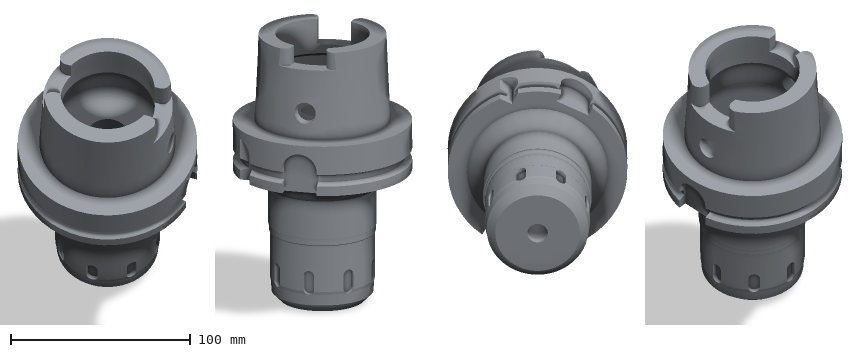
import cadquery as cq
import math

total_height = 155.0
shank_length = 50.0
flange_thickness = 29.0
flange_top = total_height - shank_length
flange_bottom = flange_top - flange_thickness

flange_radius = 49.99
groove_floor_radius = 46.2
groove_centre = flange_top - 20.0
groove_mouth_half_width = 3.4
groove_floor_half_width = 1.9

shank_base_radius = 38.0
shank_top_radius = 35.6

neck_cone_radius = 39.2
neck_cone_bottom = 66.3
body_radius = 30.2
body_bottom = 44.5
collar_radius = 29.8
collar_bottom = 40.5
sleeve_top = 40.0
sleeve_radius = 29.3
sleeve_bottom = 26.2
nut_radius = 29.22
nut_lip_top = 13.0
nut_lip_radius = 28.8
nut_lip_bottom = 11.2
nose_radius = 28.4
nose_chamfer_top = 4.8
nose_face_radius = 23.5

bore_radius = 26.4
bore_lip_depth = 20.2
undercut_radius = 31.3
undercut_slope = math.radians(30)
bore_floor_fillet = 4.3
bore_depth = 45.0
tube_seat_radius = 12.01
tube_seat_depth = 15.5
through_hole_radius = 5.7

drive_slot_half_width = 9.9
drive_slot_corner_radius = 4.6
drive_slot_shoulder = 32.1
shallow_slot_depth = 10.0
deep_slot_depth = 15.0

cross_hole_radius = 6.0
cross_hole_depth = 35.0

arch_top = flange_top - 5.1
keyway_half_width = 9.9
keyway_floor = 44.0
notch_half_width = 8.0
notch_centre = 39.5
notch_floor = 31.3

spanner_slot_count = 8
spanner_slot_width = 6.2
spanner_slot_top = 25.0
spanner_slot_bottom = nut_lip_bottom
spanner_slot_floor = 26.5

clearance = 7.8


def outer_body():
    outline = [
        (0, 0),
        (nose_face_radius, 0),
        (nose_radius, nose_chamfer_top),
        (nut_lip_radius, nut_lip_bottom),
        (nut_radius, nut_lip_top),
        (nut_radius, sleeve_bottom),
        (sleeve_radius, sleeve_bottom),
        (sleeve_radius, sleeve_top),
        (collar_radius, collar_bottom),
        (collar_radius, body_bottom),
        (body_radius, body_bottom),
        (body_radius, neck_cone_bottom),
        (neck_cone_radius, flange_bottom),
        (flange_radius, flange_bottom),
        (flange_radius, groove_centre - groove_mouth_half_width),
        (groove_floor_radius, groove_centre - groove_floor_half_width),
        (groove_floor_radius, groove_centre + groove_floor_half_width),
        (flange_radius, groove_centre + groove_mouth_half_width),
        (flange_radius, flange_top),
        (shank_base_radius, flange_top),
        (shank_top_radius, total_height),
        (0, total_height),
    ]
    return cq.Workplane("XZ").polyline(outline).close().revolve(360, (0, 0), (0, 1))


def stepped_bore():
    lip_bottom = total_height - bore_lip_depth
    undercut_top = lip_bottom - (undercut_radius - bore_radius) * math.tan(undercut_slope)
    bore_floor = total_height - bore_depth
    tube_seat_floor = bore_floor - tube_seat_depth
    fillet_drop = bore_floor_fillet * (1 - math.sqrt(0.5))
    fillet_middle = (undercut_radius - fillet_drop, bore_floor + fillet_drop)
    return (
        cq.Workplane("XZ")
        .lineTo(through_hole_radius, 0)
        .lineTo(through_hole_radius, tube_seat_floor)
        .lineTo(tube_seat_radius, tube_seat_floor)
        .lineTo(tube_seat_radius, bore_floor)
        .lineTo(undercut_radius - bore_floor_fillet, bore_floor)
        .threePointArc(fillet_middle, (undercut_radius, bore_floor + bore_floor_fillet))
        .lineTo(undercut_radius, undercut_top)
        .lineTo(bore_radius, lip_bottom)
        .lineTo(bore_radius, total_height)
        .lineTo(0, total_height)
        .close()
        .revolve(360, (0, 0), (0, 1))
    )


def drive_slot(side, depth):
    """Rim slot on the +X (side = 1) or -X (side = -1) wall, flaring outwards round its corners."""
    corner_start = drive_slot_shoulder - drive_slot_corner_radius
    corner_end = drive_slot_half_width + drive_slot_corner_radius
    outside = shank_base_radius + clearance
    quarter_turn = drive_slot_corner_radius * math.sqrt(0.5)
    arc_x = corner_start + quarter_turn
    arc_y = corner_end - quarter_turn
    return (
        cq.Workplane("XY", origin=(0, 0, total_height - depth))
        .moveTo(0, -drive_slot_half_width)
        .lineTo(side * corner_start, -drive_slot_half_width)
        .threePointArc((side * arc_x, -arc_y), (side * drive_slot_shoulder, -corner_end))
        .lineTo(side * drive_slot_shoulder, -outside)
        .lineTo(side * outside, -outside)
        .lineTo(side * outside, outside)
        .lineTo(side * drive_slot_shoulder, outside)
        .lineTo(side * drive_slot_shoulder, corner_end)
        .threePointArc((side * arc_x, arc_y), (side * corner_start, drive_slot_half_width))
        .lineTo(0, drive_slot_half_width)
        .close()
        .extrude(depth + clearance)
    )


def cross_hole():
    return (
        cq.Workplane("YZ", origin=(0, 0, total_height - cross_hole_depth))
        .circle(cross_hole_radius)
        .extrude(flange_radius, both=True)
    )


def arched_slot(centre_y, half_width, start_x, end_x):
    """Round-topped slot running along X and open at the flange underside."""
    spring_line = arch_top - half_width
    return (
        cq.Workplane("YZ", origin=(start_x, 0, 0))
        .moveTo(centre_y - half_width, flange_bottom)
        .lineTo(centre_y - half_width, spring_line)
        .threePointArc((centre_y, arch_top), (centre_y + half_width, spring_line))
        .lineTo(centre_y + half_width, flange_bottom)
        .close()
        .extrude(end_x - start_x)
    )


def spanner_slot(angle):
    height = spanner_slot_top - spanner_slot_bottom
    middle = (spanner_slot_top + spanner_slot_bottom) / 2
    return (
        cq.Workplane("YZ", origin=(spanner_slot_floor, 0, middle))
        .slot2D(height, spanner_slot_width, 90)
        .extrude(clearance)
        .rotate((0, 0, 0), (0, 0, 1), angle)
    )


beyond_flange = flange_radius + clearance

result = outer_body().cut(stepped_bore())
result = result.cut(drive_slot(-1, shallow_slot_depth))
result = result.cut(drive_slot(1, deep_slot_depth))
result = result.cut(cross_hole())
result = result.cut(arched_slot(0, keyway_half_width, -beyond_flange, -keyway_floor))
result = result.cut(arched_slot(0, keyway_half_width, keyway_floor, beyond_flange))
result = result.cut(arched_slot(notch_centre, notch_half_width, -beyond_flange, -notch_floor))
for index in range(spanner_slot_count):
    result = result.cut(spanner_slot(index * 360 / spanner_slot_count))